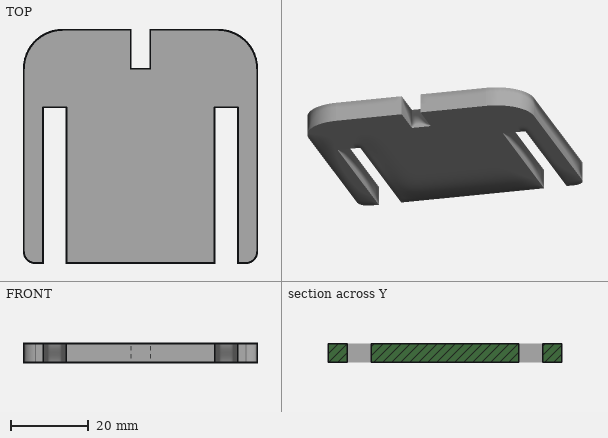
import cadquery as cq

side = 60.0
thickness = 5.0
back_corner_radius = 10.0
arm_tip_radius = 3.0

arm_width = 5.0
slot_width = 6.0
slot_length = 40.0

notch_width = 5.0
notch_depth = 10.0

half_side = side / 2


def cutter(width, length, center_x, center_y):
    """Rectangular block through the full plate thickness."""
    return cq.Workplane("XY").center(center_x, center_y).rect(width, length).extrude(thickness)


plate = cq.Workplane("XY").rect(side, side).extrude(thickness)
plate = plate.edges("|Z and >Y").fillet(back_corner_radius)
plate = plate.edges("|Z and <Y").fillet(arm_tip_radius)

slot_center_x = half_side - arm_width - slot_width / 2
slot_center_y = -half_side + slot_length / 2
for direction in (-1, 1):
    plate = plate.cut(cutter(slot_width, slot_length, direction * slot_center_x, slot_center_y))

notch_center_y = half_side - notch_depth / 2
result = plate.cut(cutter(notch_width, notch_depth, 0, notch_center_y))